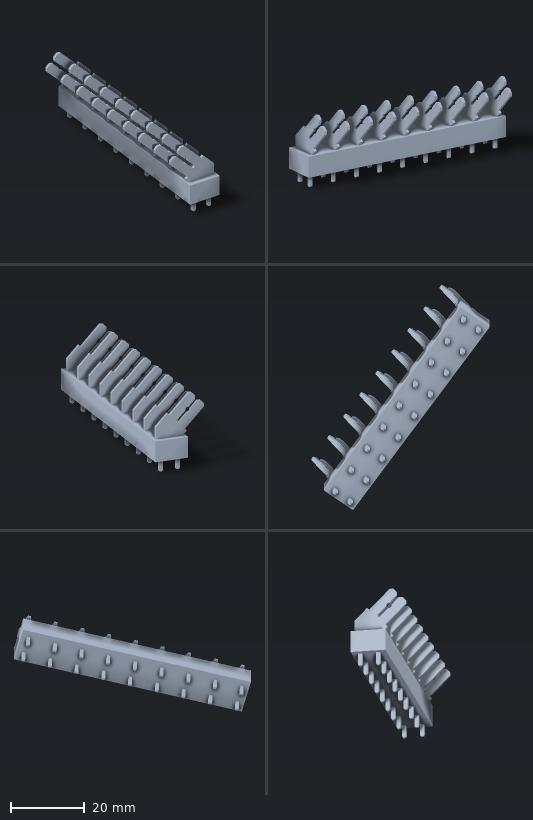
import cadquery as cq
import math


HOUSING_LENGTH = 64.0
HOUSING_DEPTH = 9.65
HOUSING_HEIGHT = 6.0

CONTACT_COUNT = 9
ROW_SPAN = 60.0
CONTACT_PITCH = ROW_SPAN / (CONTACT_COUNT - 1)
CONTACT_THICKNESS = 0.8

LEG_WIDTH = 1.15
LEG_SPACING = 5.0
LEG_PROTRUSION = 3.5
LEG_TIP_RADIUS = 0.5

BLADE_TILT = math.radians(45)
BLADE_BACK_Y = 4.0
AXIS_RISE = 1.8
BLADE_WIDTH = 6.4
SHOULDER_STEP = 0.8
SHOULDER_WIDTH = BLADE_WIDTH + 2 * SHOULDER_STEP

SHOULDER_TOP = 3.25
SLOT_BOTTOM = 3.9
SLOT_HOLE = 7.7
BLADE_TIP = 11.9

SLOT_WIDTH = 0.8
SLOT_HOLE_DIAMETER = 1.55
TINE_TIP_CHAMFER = 0.7


def blade_point(along, across):
    """(Y, Z) of a point placed along the blade axis and across it, upper side positive."""
    y = across * math.cos(BLADE_TILT) - along * math.sin(BLADE_TILT)
    z = across * math.sin(BLADE_TILT) + along * math.cos(BLADE_TILT)
    return y, z + HOUSING_HEIGHT + AXIS_RISE


def contact_plate(outline):
    """Closed (Y, Z) outline as a plate of the contact's thickness, centred on X = 0."""
    return cq.Workplane("YZ").polyline(outline).close().extrude(CONTACT_THICKNESS / 2, both=True)


def make_leg(y):
    """One leg, with its lower end rounded on the two narrow sides."""
    back = y + LEG_WIDTH / 2
    front = y - LEG_WIDTH / 2
    leg = contact_plate([
        (back, HOUSING_HEIGHT),
        (back, -LEG_PROTRUSION),
        (front, -LEG_PROTRUSION),
        (front, HOUSING_HEIGHT),
    ])
    return leg.faces("<Z").edges("|X").fillet(LEG_TIP_RADIUS)


def make_blade_root():
    """Blade from the top of the housing up to the shoulders."""
    half = SHOULDER_WIDTH / 2
    front_foot_y = (AXIS_RISE - half / math.sin(BLADE_TILT)) * math.tan(BLADE_TILT)
    back_corner_z = (
        HOUSING_HEIGHT + AXIS_RISE
        + half / math.sin(BLADE_TILT) - BLADE_BACK_Y / math.tan(BLADE_TILT)
    )
    return contact_plate([
        (BLADE_BACK_Y, HOUSING_HEIGHT),
        (BLADE_BACK_Y, back_corner_z),
        blade_point(SHOULDER_TOP, half),
        blade_point(SHOULDER_TOP, -half),
        (front_foot_y, HOUSING_HEIGHT),
    ])


def make_tine(side):
    """One tine on the upper (+1) or lower (-1) side of the slot, with a chamfered tip."""
    inner = SLOT_WIDTH / 2
    outer = BLADE_WIDTH / 2
    corners = [
        (SHOULDER_TOP, inner),
        (BLADE_TIP - TINE_TIP_CHAMFER, inner),
        (BLADE_TIP, inner + TINE_TIP_CHAMFER),
        (BLADE_TIP, outer - TINE_TIP_CHAMFER),
        (BLADE_TIP - TINE_TIP_CHAMFER, outer),
        (SHOULDER_TOP, outer),
    ]
    return contact_plate([blade_point(along, side * across) for along, across in corners])


def make_slot_floor():
    """Web that joins the tines between the shoulders and the round end of the slot."""
    half = SLOT_WIDTH / 2
    web = contact_plate([
        blade_point(SHOULDER_TOP, half),
        blade_point(SLOT_BOTTOM, half),
        blade_point(SLOT_BOTTOM, -half),
        blade_point(SHOULDER_TOP, -half),
    ])
    return web.cut(make_round_cutter(SLOT_BOTTOM, SLOT_WIDTH))


def make_round_cutter(along, diameter):
    """Round cutter through the contact, centred on the blade axis."""
    return (
        cq.Workplane("YZ")
        .center(*blade_point(along, 0))
        .circle(diameter / 2)
        .extrude(CONTACT_THICKNESS, both=True)
    )


def make_contact():
    """Forked contact at X = 0: two legs, the blade root and two tines."""
    contact = make_blade_root().union(make_slot_floor())
    for side in (1, -1):
        contact = contact.union(make_tine(side))
        contact = contact.union(make_leg(side * LEG_SPACING / 2))
    return contact.cut(make_round_cutter(SLOT_HOLE, SLOT_HOLE_DIAMETER)).solids()


def make_housing(contact_places):
    """Block with a pair of through slots for the legs of each contact."""
    block = cq.Workplane("XY").box(
        HOUSING_LENGTH, HOUSING_DEPTH, HOUSING_HEIGHT, centered=(True, True, False)
    )
    leg_places = [(x, side * LEG_SPACING / 2) for x in contact_places for side in (1, -1)]
    leg_slots = (
        cq.Workplane("XY")
        .pushPoints(leg_places)
        .rect(CONTACT_THICKNESS, LEG_WIDTH)
        .extrude(HOUSING_HEIGHT)
    )
    return block.cut(leg_slots).solids()


contact_places = [i * CONTACT_PITCH - ROW_SPAN / 2 for i in range(CONTACT_COUNT)]
housing = make_housing(contact_places)
contacts = [make_contact().translate((x, 0, 0)) for x in contact_places]

result = cq.Compound.makeCompound([housing.val(), *[contact.val() for contact in contacts]])